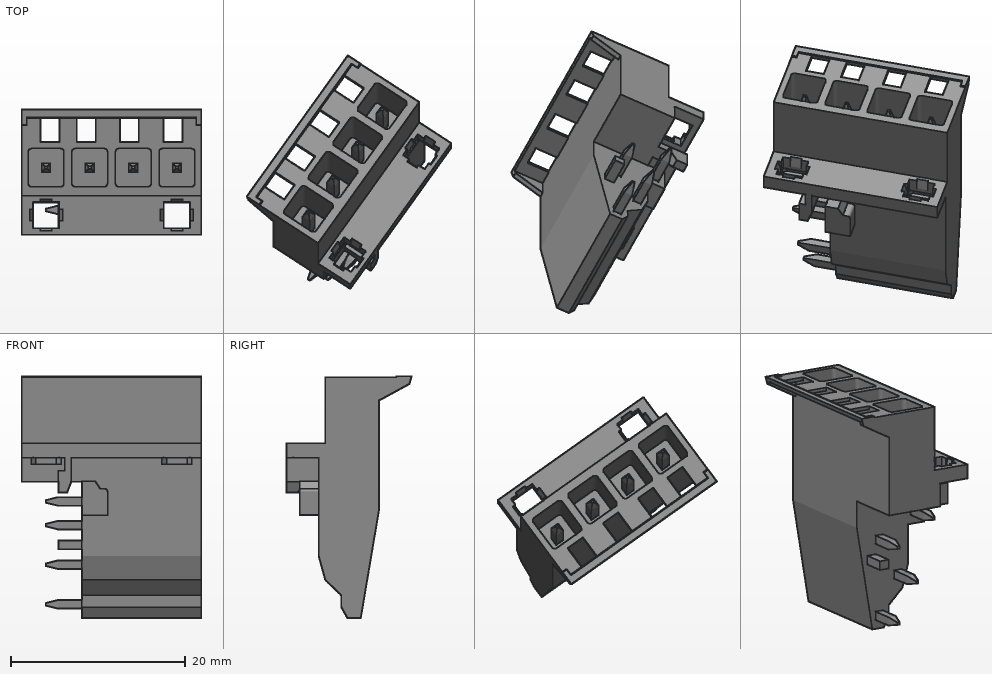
import cadquery as cq

width = 20.6
depth = 14.38
height = 27.75
overcut = 1.0

front_wall_y = 3.7
upper_front_y = 4.46
back_y = 10.65
upper_bottom_z = 15.63
flange_bottom_z = 18.4
flange_top_z = 20.08
rim_height = 0.11
deck_z = height - rim_height

ledge_root_z = 24.95
ledge_lip_y = 14.13
ledge_lip_z = 26.85
plate_thickness = 0.4
end_wall = 0.59
rim_inner_y = 13.47
rim_arm_y = 12.55
rim_ramp = 0.1
window_width = 2.13
window_starts = (2.18, 6.34, 11.29, 16.29)

lower_left_x = 6.9
taper_top_z = 12.45
bottom_back_y = 8.55
bottom_front_y = 7.0
toe_y = 6.3
toe_bottom_z = 1.25
toe_top_z = 2.6
knee_bottom_z = 4.38
knee_top_z = 7.12

boss_right_x = 9.85
boss_front_y = 1.53
boss_bottom_z = 11.8
boss_top_z = 15.72
boss_step_z = 14.83
boss_slope_x = (8.42, 9.0)
boss_round = 0.35

hook_left_x = 4.2
hook_right_x = 5.7
hook_neck_x = 4.95
hook_shelf_z = 16.87
hook_bottom_z = 14.4
hook_tip_x = 5.22
hook_tip_y = 1.36
hook_slope_y = 2.0

pitch = 5.0
first_pole_x = 2.8
hole_poles = (0, 3)
hole_size = 3.0
hole_y = 2.28
lead_in_width = 1.32
lead_in_side = 0.39
lead_in_end = 0.29
lead_in_drop = 1.2
relief_size = 3.9
relief_corner = 0.77
relief_drop = 0.75

pole_count = 4
socket_x = 4.1
socket_y = 4.4
socket_round = 0.4
socket_floor_z = flange_top_z
pole_y = 7.7
pin_side = 1.0
pin_tip = 0.3
pin_taper = 1.4
pin_seat = 2.0
contact_tip_z = 26.45
side_pin_tip_x = 2.75
side_pin_places = ((2.85, 13.38), (7.62, 10.66), (5.1, 6.12), (7.62, 1.58))

peg_y = 8.65
peg_z = 8.4
peg_width = 1.18
peg_height = 1.05
peg_tip_x = 4.2

pole_xs = [first_pole_x + pitch * i for i in range(pole_count)]
hole_xs = [pole_xs[i] for i in hole_poles]


def box(x0, x1, y0, y1, z0, z1):
    """Block between two limits on each axis."""
    return cq.Workplane("XY").box(x1 - x0, y1 - y0, z1 - z0, centered=False).translate((x0, y0, z0))


def profile_along_x(points, x0, x1):
    """Extrude a (y, z) outline from x0 to x1."""
    return cq.Workplane("YZ").workplane(offset=x0).polyline(points).close().extrude(x1 - x0)


def profile_along_y(points, y0, y1):
    """Extrude an (x, z) outline from y0 to y1."""
    return cq.Workplane("XZ").workplane(offset=-y1).polyline(points).close().extrude(y1 - y0)


def upper_housing():
    """Full-width block with the front flange and the sloped rear ledge."""
    outline = [
        (front_wall_y, upper_bottom_z), (back_y, upper_bottom_z), (back_y, ledge_root_z),
        (ledge_lip_y, ledge_lip_z), (depth, height), (rim_arm_y + rim_ramp, height),
        (rim_arm_y, deck_z), (upper_front_y, deck_z), (upper_front_y, flange_top_z),
        (0, flange_top_z), (0, flange_bottom_z), (front_wall_y, flange_bottom_z),
    ]
    return profile_along_x(outline, 0, width)


def lower_housing():
    """Tapered lower block."""
    outline = [
        (front_wall_y, upper_bottom_z), (back_y, upper_bottom_z), (back_y, taper_top_z),
        (bottom_back_y, 0), (bottom_front_y, 0), (toe_y, toe_bottom_z), (toe_y, toe_top_z),
        (upper_front_y, knee_bottom_z), (front_wall_y, knee_top_z),
    ]
    return profile_along_x(outline, lower_left_x, width)


def boss():
    """Front boss whose top slopes down to a step with a rounded corner."""
    slope_start_x, slope_end_x = boss_slope_x
    outline = [
        (lower_left_x, boss_bottom_z), (boss_right_x, boss_bottom_z), (boss_right_x, boss_step_z),
        (slope_end_x, boss_step_z), (slope_start_x, boss_top_z), (lower_left_x, boss_top_z),
    ]
    block = profile_along_y(outline, boss_front_y, front_wall_y)
    corner = cq.selectors.NearestToPointSelector(
        (boss_right_x, (boss_front_y + front_wall_y) / 2, boss_step_z))
    return block.edges(corner).fillet(boss_round)


def hook():
    """Barbed hook: the front outline limited by the sloped side outline."""
    front_outline = [
        (hook_neck_x, flange_bottom_z), (hook_neck_x, hook_shelf_z), (hook_left_x, hook_shelf_z),
        (hook_left_x, hook_bottom_z), (hook_tip_x, hook_bottom_z), (hook_right_x, upper_bottom_z),
        (hook_right_x, flange_bottom_z),
    ]
    side_outline = [
        (0, flange_bottom_z), (0, hook_bottom_z), (hook_tip_y, hook_bottom_z),
        (hook_slope_y, upper_bottom_z), (front_wall_y, upper_bottom_z), (front_wall_y, flange_bottom_z),
    ]
    side_limit = profile_along_x(side_outline, hook_left_x, hook_right_x)
    return profile_along_y(front_outline, 0, front_wall_y).intersect(side_limit)


def locating_peg():
    """Plain rectangular peg on the left face of the lower housing."""
    y0 = peg_y - peg_width / 2
    z0 = peg_z - peg_height / 2
    return box(peg_tip_x, lower_left_x, y0, y0 + peg_width, z0, z0 + peg_height)


def rim_recess():
    """Shallow recess that leaves the rim standing along the back and round both ends."""
    outline = [
        (rim_arm_y - rim_ramp, deck_z), (rim_inner_y - rim_ramp, deck_z), (rim_inner_y, height),
        (rim_inner_y, height + overcut), (rim_arm_y - rim_ramp, height + overcut),
    ]
    return profile_along_x(outline, end_wall, width - end_wall)


def ledge_hollow():
    """Space under the ledge plate, between its two end walls."""
    plate_bottom_z = deck_z - plate_thickness
    return box(end_wall, width - end_wall, back_y, depth + overcut, upper_bottom_z, plate_bottom_z)


def ledge_window(x0):
    """Rectangular opening through the ledge plate."""
    window_back_y = rim_inner_y - rim_ramp
    return box(x0, x0 + window_width, back_y, window_back_y, ledge_root_z, height + overcut)


def socket(x):
    """Rounded square socket, open at the top."""
    block = cq.Workplane("XY").box(socket_x, socket_y, height - socket_floor_z, centered=(True, True, False))
    return block.edges("|Z").fillet(socket_round).translate((x, pole_y, socket_floor_z))


def flange_hole(x):
    """Square hole with a tapered lead-in on each side."""
    half = hole_size / 2
    hole = box(x - half, x + half, hole_y - half, hole_y + half, flange_bottom_z, flange_top_z)
    foot_z = flange_top_z - lead_in_drop
    side_taper = [
        (x - half - lead_in_side, flange_top_z), (x + half + lead_in_side, flange_top_z),
        (x + half, foot_z), (x - half, foot_z),
    ]
    end_taper = [
        (hole_y - half - lead_in_end, flange_top_z), (hole_y + half + lead_in_end, flange_top_z),
        (hole_y + half, foot_z), (hole_y - half, foot_z),
    ]
    half_lead = lead_in_width / 2
    hole = hole.union(profile_along_y(side_taper, hole_y - half_lead, hole_y + half_lead))
    return hole.union(profile_along_x(end_taper, x - half_lead, x + half_lead))


def wall_relief(x):
    """Chamfered square relief that bites into the front wall just under the flange."""
    block = cq.Workplane("XY").box(relief_size, relief_size, relief_drop, centered=(True, True, False))
    return block.edges("|Z").chamfer(relief_corner).translate((x, hole_y, flange_bottom_z - relief_drop))


def pin(length):
    """Square pin standing on the origin along +Z, ending in a blunt pyramid."""
    shank = cq.Workplane("XY").rect(pin_side, pin_side).extrude(length - pin_taper)
    point = (
        cq.Workplane("XY").workplane(offset=length - pin_taper).rect(pin_side, pin_side)
        .workplane(offset=pin_taper).rect(pin_tip, pin_tip).loft(combine=True)
    )
    return shank.union(point)


def contact_pin(x):
    """Upright pin in the middle of one socket."""
    foot_z = socket_floor_z - pin_seat
    return pin(contact_tip_z - foot_z).translate((x, pole_y, foot_z))


def side_pin(y, z):
    """Pin pointing left out of the lower housing."""
    foot_x = lower_left_x + pin_seat
    lying = pin(foot_x - side_pin_tip_x).rotate((0, 0, 0), (0, 1, 0), -90)
    return lying.translate((foot_x, y, z))


contact_pins = [contact_pin(x) for x in pole_xs]
side_pins = [side_pin(y, z) for y, z in side_pin_places]

housing = upper_housing().union(lower_housing()).union(boss())
housing = housing.cut(rim_recess()).cut(ledge_hollow())
for window_start in window_starts:
    housing = housing.cut(ledge_window(window_start))
for pole_x in pole_xs:
    housing = housing.cut(socket(pole_x))
for hole_x in hole_xs:
    housing = housing.cut(flange_hole(hole_x)).cut(wall_relief(hole_x))
housing = housing.union(hook()).union(locating_peg())
for seated_pin in contact_pins + side_pins:
    housing = housing.cut(seated_pin)

result = cq.Compound.makeCompound([
    housing.solids().val(),
    *[contact.val() for contact in contact_pins],
    *[contact.val() for contact in side_pins],
])